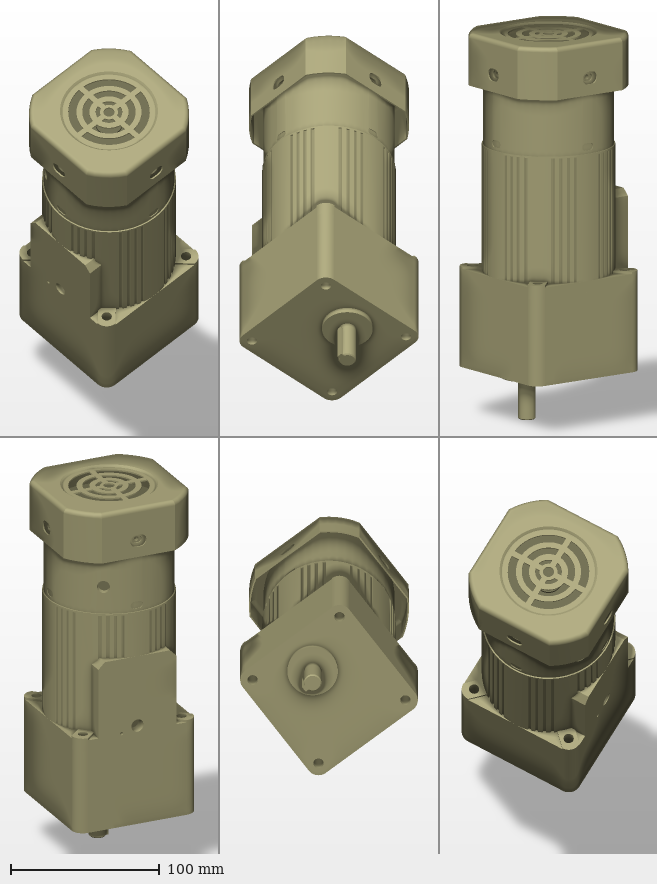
import cadquery as cq

BOSS_BOTTOM = 28.5
GEARBOX_BOTTOM = 32.5
FLANGE_BOTTOM = 92.1
FLANGE_TOP = 100.0
PAD_TOP = 101.6
MOTOR_TOP = 187.5
SPIGOT_TOP = 195.4
CAP_BOTTOM = 228.0
CAP_TOP = 264.0

FLANGE_SIDE = 90.0
FLANGE_CORNER_RADIUS = 8.2
BOLT_SPACING = 73.5
BOLT_HOLE_DIAMETER = 6.9
PAD_WIDTH = 12.0
PAD_ANGLE = 45

SHAFT_OFFSET = 18.2
SHAFT_DIAMETER = 12.0
SHAFT_CHAMFER = 0.8
BOSS_DIAMETER = 34.0
KEY_WIDTH = 4.0
KEY_REACH = 7.5
KEY_TOP = 25.5

MOTOR_RADIUS = FLANGE_SIDE / 2
RIM_HEIGHT = 1.3
GROOVE_WIDTH = 2.0
GROOVE_PITCH = 4.8
GROOVE_DEPTH = 1.0
GROOVES_PER_GROUP = 4
FIRST_GROOVE_OFFSET = 10.3

BOX_WIDTH = 58.0
BOX_TOP = 155.0
BOX_CHAMFER = 4.8
CABLE_HOLE_DIAMETER = 9.0
CABLE_HOLE_HEIGHT = 104.3
CABLE_HOLE_DEPTH = 8.0
GROUND_HOLE_DIAMETER = 2.5
GROUND_HOLE_OFFSET = -12.0
GROUND_HOLE_HEIGHT = 100.5
GROUND_HOLE_DEPTH = 2.6

COVER_RADIUS = 44.0
COVER_BORE_RADIUS = 39.5
COVER_TOP = 256.0
COVER_FLOOR_TOP = 248.2
COVER_FLOOR_THICKNESS = 5.0
COVER_BOSS_RADIUS = 9.0
COVER_BOSS_HEIGHT = 1.5
SPIGOT_RADIUS = 43.5
CLIP_WINDOW_LENGTH = 9.0
CLIP_WINDOW_HEIGHT = 5.0
CLIP_WINDOW_CENTRE = 192.2
CABLE_EXIT_DIAMETER = 8.7
CABLE_EXIT_HEIGHT = 207.0
CABLE_EXIT_ANGLE = 30

CAP_SIDE = 93.0
CAP_CORNER_RADIUS = 53.9
CAP_EDGE_FILLET = 3.2
CAP_WALL = 1.0
DISH_TOP_RADIUS = 33.0
DISH_FLOOR_RADIUS = 31.5
DISH_DEPTH = 1.3
DISH_WALL = 1.5
SPOKE_WIDTH = 4.0
VENT_RINGS = [(22.0, 27.5), (13.2, 18.0), (6.0, 9.0)]
HUB_HOLE_RADIUS = 3.7

SCREW_HEIGHT = 240.0
SCREW_WINDOW = (12.0, 8.7)
SCREW_SEAT = (7.5, 5.0)
SCREW_SEAT_DEPTH = 1.3
SCREW_HOLE_DIAMETER = 3.5


def cylinder(radius, bottom, top):
    return cq.Workplane("XY").workplane(offset=bottom).circle(radius).extrude(top - bottom)


def slab(width, depth, bottom, top):
    return cq.Workplane("XY").workplane(offset=bottom).rect(width, depth).extrude(top - bottom)


def rounded_square(bottom, top):
    return slab(FLANGE_SIDE, FLANGE_SIDE, bottom, top).edges("|Z").fillet(FLANGE_CORNER_RADIUS)


def bolt_holes(bottom, top):
    plane = cq.Workplane("XY").workplane(offset=bottom)
    corners = plane.rect(BOLT_SPACING, BOLT_SPACING, forConstruction=True).vertices()
    return corners.circle(BOLT_HOLE_DIAMETER / 2).extrude(top - bottom)


def on_four_sides(shape):
    """Repeat a shape at quarter turns about the Z axis."""
    repeated = shape
    for angle in (90, 180, 270):
        repeated = repeated.union(shape.rotate((0, 0, 0), (0, 0, 1), angle))
    return repeated


def front_plane(height, reach):
    """Plane facing -Y at distance `reach` from the axis, for cutters extruded inwards."""
    return cq.Workplane("XZ", origin=(0, -reach, height))


def make_gearbox():
    def at_shaft(shape):
        return shape.translate((0, SHAFT_OFFSET, 0))

    body = rounded_square(GEARBOX_BOTTOM, FLANGE_BOTTOM)
    body = body.cut(bolt_holes(GEARBOX_BOTTOM, FLANGE_BOTTOM))
    boss = cylinder(BOSS_DIAMETER / 2, BOSS_BOTTOM, GEARBOX_BOTTOM)
    shaft = cylinder(SHAFT_DIAMETER / 2, 0, BOSS_BOTTOM).faces("<Z").chamfer(SHAFT_CHAMFER)
    key = (
        cq.Workplane("YZ")
        .moveTo(-KEY_WIDTH / 2, 0)
        .lineTo(KEY_WIDTH / 2, 0)
        .lineTo(KEY_WIDTH / 2, KEY_TOP - KEY_WIDTH / 2)
        .threePointArc((0, KEY_TOP), (-KEY_WIDTH / 2, KEY_TOP - KEY_WIDTH / 2))
        .close()
        .extrude(KEY_REACH)
    )
    return body.union(at_shaft(boss)).union(at_shaft(shaft)).union(at_shaft(key))


def groove_cutters():
    """Straight grooves along the motor, in mirrored groups on each of its four sides."""
    strip_depth = MOTOR_RADIUS / 2
    ring = cylinder(MOTOR_RADIUS, FLANGE_TOP, MOTOR_TOP - RIM_HEIGHT)
    ring = ring.cut(cylinder(MOTOR_RADIUS - GROOVE_DEPTH, FLANGE_TOP, MOTOR_TOP))
    strips = cq.Workplane("XY")
    for index in range(GROOVES_PER_GROUP):
        offset = FIRST_GROOVE_OFFSET + index * GROOVE_PITCH
        for x in (-offset, offset):
            strip = slab(GROOVE_WIDTH, strip_depth, FLANGE_TOP, MOTOR_TOP)
            strips = strips.add(strip.translate((x, strip_depth / 2 - MOTOR_RADIUS, 0)))
    strips = strips.combine()
    return on_four_sides(ring.intersect(strips))


def make_terminal_box():
    box = slab(BOX_WIDTH, MOTOR_RADIUS, FLANGE_BOTTOM, BOX_TOP)
    box = box.translate((0, -MOTOR_RADIUS / 2, 0))
    return box.edges("|Y and >Z").chamfer(BOX_CHAMFER)


def make_motor():
    flange = rounded_square(FLANGE_BOTTOM, FLANGE_TOP)
    pads = slab(2 * FLANGE_SIDE, PAD_WIDTH, FLANGE_TOP, PAD_TOP).rotate((0, 0, 0), (0, 0, 1), PAD_ANGLE)
    pads = on_four_sides(pads).intersect(rounded_square(FLANGE_TOP, PAD_TOP))
    body = cylinder(MOTOR_RADIUS, FLANGE_TOP, MOTOR_TOP).cut(groove_cutters())
    spigot = cylinder(SPIGOT_RADIUS, MOTOR_TOP, SPIGOT_TOP)
    motor = body.union(flange).union(pads).union(spigot).union(make_terminal_box())

    cable_hole = front_plane(CABLE_HOLE_HEIGHT, MOTOR_RADIUS).circle(CABLE_HOLE_DIAMETER / 2)
    ground_hole = front_plane(GROUND_HOLE_HEIGHT, MOTOR_RADIUS).center(GROUND_HOLE_OFFSET, 0)
    ground_hole = ground_hole.circle(GROUND_HOLE_DIAMETER / 2)
    motor = motor.cut(bolt_holes(FLANGE_BOTTOM, PAD_TOP))
    return motor.cut(cable_hole.extrude(-CABLE_HOLE_DEPTH)).cut(ground_hole.extrude(-GROUND_HOLE_DEPTH))


def make_cover():
    cover = cylinder(COVER_RADIUS, MOTOR_TOP, COVER_TOP)
    cover = cover.cut(cylinder(COVER_BORE_RADIUS, MOTOR_TOP, COVER_FLOOR_TOP - COVER_FLOOR_THICKNESS))
    cover = cover.cut(cylinder(COVER_BORE_RADIUS, COVER_FLOOR_TOP, COVER_TOP))
    cover = cover.cut(cylinder(SPIGOT_RADIUS, MOTOR_TOP, SPIGOT_TOP))
    boss_top = COVER_FLOOR_TOP + COVER_BOSS_HEIGHT
    cover = cover.union(cylinder(COVER_BOSS_RADIUS, COVER_FLOOR_TOP, boss_top))

    wall = COVER_RADIUS - COVER_BORE_RADIUS
    window = front_plane(CLIP_WINDOW_CENTRE, COVER_RADIUS).slot2D(CLIP_WINDOW_LENGTH, CLIP_WINDOW_HEIGHT)
    seat = front_plane(SCREW_HEIGHT, COVER_RADIUS).slot2D(*SCREW_SEAT).extrude(-SCREW_SEAT_DEPTH)
    screw_hole = front_plane(SCREW_HEIGHT, COVER_RADIUS).circle(SCREW_HOLE_DIAMETER / 2).extrude(-2 * wall)
    cover = cover.cut(on_four_sides(window.extrude(-wall)))
    cover = cover.cut(on_four_sides(seat.union(screw_hole)))

    cable_exit = front_plane(CABLE_EXIT_HEIGHT, COVER_RADIUS).circle(CABLE_EXIT_DIAMETER / 2)
    cable_exit = cable_exit.extrude(-2 * wall).rotate((0, 0, 0), (0, 0, 1), -CABLE_EXIT_ANGLE)
    return cover.cut(cable_exit)


def cap_block(inset, top):
    """Square block with bowed corners, drawn in by `inset` all round."""
    side = CAP_SIDE - 2 * inset
    block = slab(side, side, CAP_BOTTOM, top)
    return block.intersect(cylinder(CAP_CORNER_RADIUS - inset, CAP_BOTTOM, top))


def cone(top_radius, floor_radius, floor, top):
    return (
        cq.Workplane("XY").workplane(offset=floor).circle(floor_radius)
        .workplane(offset=top - floor).circle(top_radius).loft()
    )


def vent_cutters():
    """Ring slots broken by two crossed spokes, round a hole in the hub."""
    slots = cq.Workplane("XY")
    bottom = CAP_TOP - 2 * CAP_WALL - DISH_DEPTH
    for inner, outer in VENT_RINGS:
        slots = slots.add(cylinder(outer, bottom, CAP_TOP).cut(cylinder(inner, bottom, CAP_TOP)))
    slots = slots.combine()
    for width, depth in ((CAP_SIDE, SPOKE_WIDTH), (SPOKE_WIDTH, CAP_SIDE)):
        slots = slots.cut(slab(width, depth, bottom, CAP_TOP))
    return slots.union(cylinder(HUB_HOLE_RADIUS, bottom, CAP_TOP))


def make_cap():
    cap = cap_block(0, CAP_TOP).faces(">Z").edges().fillet(CAP_EDGE_FILLET)
    cavity = cap_block(CAP_WALL, CAP_TOP - CAP_WALL).faces(">Z").edges().fillet(CAP_EDGE_FILLET)
    dish_floor = CAP_TOP - DISH_DEPTH
    cavity = cavity.cut(cone(DISH_TOP_RADIUS + DISH_WALL, DISH_FLOOR_RADIUS + DISH_WALL,
                             dish_floor - CAP_WALL, CAP_TOP - CAP_WALL))
    cap = cap.cut(cavity)
    cap = cap.cut(cone(DISH_TOP_RADIUS, DISH_FLOOR_RADIUS, dish_floor, CAP_TOP))
    cap = cap.cut(vent_cutters())
    window = front_plane(SCREW_HEIGHT, CAP_SIDE / 2).slot2D(*SCREW_WINDOW).extrude(-2 * CAP_WALL)
    return cap.cut(on_four_sides(window))


gearbox = make_gearbox()
motor = make_motor()
cover = make_cover()
cap = make_cap()

result = cq.Compound.makeCompound([body.solids().val() for body in (gearbox, motor, cover, cap)])